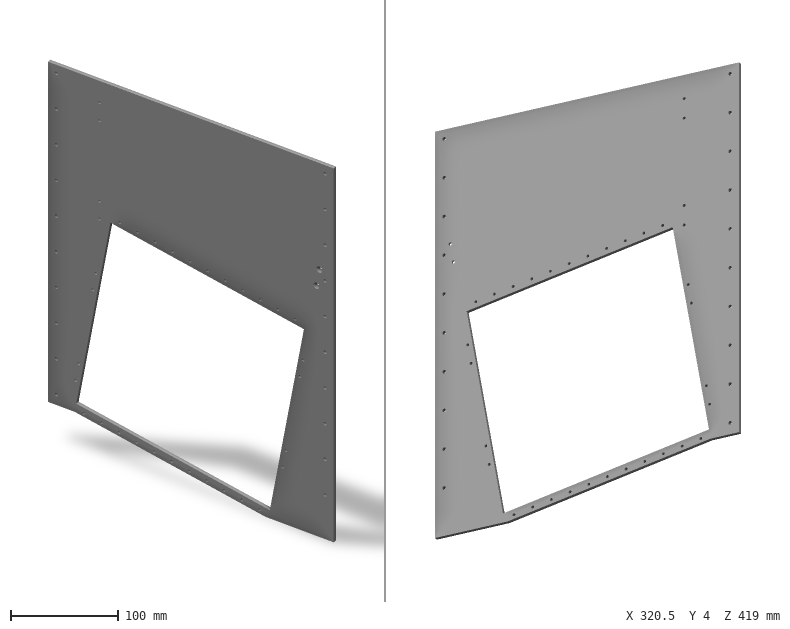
import cadquery as cq
import math

plate_width = 320.5
plate_height = 419.0
plate_thickness = 4.0
left_side_height = 381.2

tilt = 10.0
window_side = 220.5
window_x = -1.0
window_z = -72.5
lower_rail_width = 10.0

screw_diameter = 3.55
screw_count = 10
screw_edge_distance = 9.5
screw_column_length = 360.0

rivet_diameter = 3.0
rivet_row_count = 11
rivet_row_length = 200.0
rivet_row_shift = -0.5
rivet_row_margin = 6.0
rivet_column_margin = 5.0
rivet_pair_pitch = 20.0
rivet_pair_distance = 110.0
left_rivets_shift = -19.5
right_rivets_shift = 10.5
upper_rivets_x = -102.2
upper_rivets_z = 120.0

bore_diameter = 3.5
countersink_diameter = 6.5
countersink_angle = 90.0
countersink_places = [(144.0, 90.0), (140.8, 71.0)]

half_width = plate_width / 2
half_height = plate_height / 2
front_y = -plate_thickness / 2
tilt_cos = math.cos(math.radians(tilt))
tilt_sin = math.sin(math.radians(tilt))


def from_window(along, across):
    """Turn a place in the tilted window's own axes into plate X and Z."""
    x = window_x + along * tilt_cos + across * tilt_sin
    z = window_z - along * tilt_sin + across * tilt_cos
    return x, z


def front_plane():
    """Workplane on the front face, with local Y along the plate's Z."""
    return cq.Workplane("XZ", origin=(0, front_y, 0))


def evenly_spaced(count, length):
    """Places spread evenly over a length, centred on zero."""
    return [length * (i / (count - 1) - 0.5) for i in range(count)]


def rivet_column():
    """Places along a column of two hole pairs, centred on zero."""
    return [
        side * rivet_pair_distance / 2 + end * rivet_pair_pitch / 2
        for side in (-1, 1)
        for end in (-1, 1)
    ]


def drill(places, diameter):
    """Cylinders through the whole plate at the given places."""
    return front_plane().pushPoints(places).circle(diameter / 2).extrude(-plate_thickness)


def plate():
    """Plate outline, its sloping lower edge parallel to the window."""
    edge_x, edge_z = from_window(0, -window_side / 2 - lower_rail_width)
    left_bottom = half_height - left_side_height

    def slope_x(z):
        return edge_x + (edge_z - z) * tilt_cos / tilt_sin

    outline = [
        (-half_width, half_height),
        (half_width, half_height),
        (half_width, -half_height),
        (slope_x(-half_height), -half_height),
        (slope_x(left_bottom), left_bottom),
        (-half_width, left_bottom),
    ]
    return front_plane().polyline(outline).close().extrude(-plate_thickness)


def window():
    half = window_side / 2
    corners = [(-half, -half), (half, -half), (half, half), (-half, half)]
    outline = [from_window(*corner) for corner in corners]
    return front_plane().polyline(outline).close().extrude(-plate_thickness)


def screw_holes():
    x = half_width - screw_edge_distance
    middle_z = half_height - screw_edge_distance - screw_column_length / 2
    places = [
        (side * x, middle_z + offset)
        for side in (-1, 1)
        for offset in evenly_spaced(screw_count, screw_column_length)
    ]
    return drill(places, screw_diameter)


def rivet_holes():
    row_line = window_side / 2 + rivet_row_margin
    column_line = window_side / 2 + rivet_column_margin
    row = [rivet_row_shift + s for s in evenly_spaced(rivet_row_count, rivet_row_length)]
    places = [from_window(along, side * row_line) for side in (-1, 1) for along in row]
    for offset in rivet_column():
        places.append(from_window(-column_line, left_rivets_shift + offset))
        places.append(from_window(column_line, right_rivets_shift + offset))
        places.append((upper_rivets_x, upper_rivets_z + offset))
    return drill(places, rivet_diameter)


result = (
    plate()
    .cut(window())
    .cut(screw_holes())
    .cut(rivet_holes())
    .faces("<Y")
    .workplane(origin=(0, front_y, 0))
    .pushPoints(countersink_places)
    .cskHole(bore_diameter, countersink_diameter, countersink_angle)
)